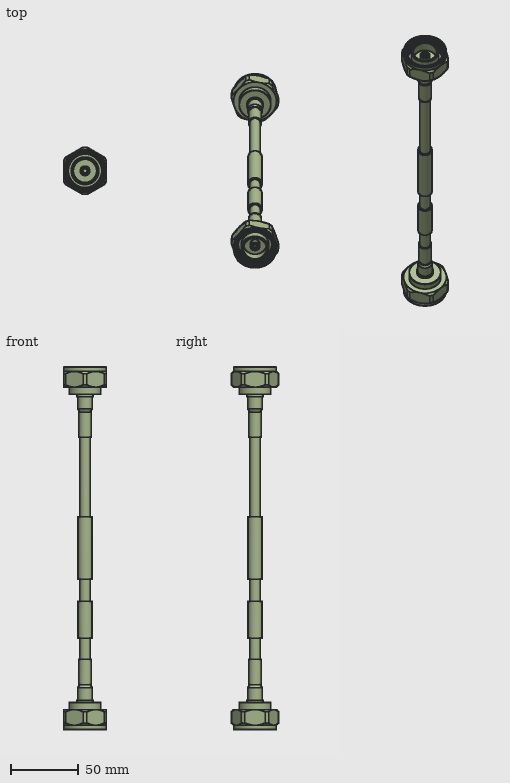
import cadquery as cq
import math

total_length = 269.4

nut_flats = 31.8
nut_corners = 35.0
ring_height = 3.5
hex_height = 11.5
edge_chamfer = 0.5

thread_minor_radius = 13.5
thread_depth = 0.8
thread_pitch = 1.5
thread_grooves = 4
bore_depth = 7.5

collar_diameter = 23.7
collar_length = 5.5
collar_chamfer = 0.3
flange_diameter = 12.0
flange_length = 1.5
barrel_diameter = 10.8
barrel_length = 9.2
neck_length = 2.5
neck_end_diameter = 8.0
ferrule_diameter = 9.5
ferrule_length = 18.5

contact_outer_radius = 10.2
contact_inner_radius = 8.5
contact_recess = 0.3
contact_bevel = 0.5
contact_depth = 9.0
bead_radius = 1.0

pin_radius = 3.5
pin_chamfer = 0.8
pin_recess = 3.8
pin_hole_radius = 1.5
pin_hole_depth = 2.2

cable_diameter = 7.8
sleeve_diameter = 10.5
long_sleeve_bottom = 111.8
long_sleeve_length = 46.3
short_sleeve_bottom = 68.1
short_sleeve_length = 27.2

nut_end = ring_height + hex_height
collar_end = nut_end + collar_length
flange_end = collar_end + flange_length
barrel_end = flange_end + barrel_length
ferrule_start = barrel_end + neck_length
ferrule_end = ferrule_start + ferrule_length


def disc(radius, start, end):
    """Cylinder on the Z axis between two heights."""
    return cq.Workplane("XY").workplane(offset=start).circle(radius).extrude(end - start)


def tube(outer_radius, inner_radius, start, end):
    """Hollow cylinder on the Z axis between two heights."""
    return disc(outer_radius, start, end).cut(disc(inner_radius, start, end))


def turned(points):
    """Solid of revolution about Z from (radius, height) points."""
    return cq.Workplane("XZ").polyline(points).close().revolve(360, (0, 0, 0), (0, 1, 0))


def hex_prism(across_flats, turn):
    """Hexagonal prism at the height of the nut's hexagon, turned about Z by an angle in degrees."""
    across_points = across_flats / math.cos(math.pi / 6)
    prism = cq.Workplane("XY").polygon(6, across_points).extrude(hex_height)
    return prism.rotate((0, 0, 0), (0, 0, 1), turn).translate((0, 0, ring_height))


def make_nut():
    """Hexagon with flats facing X, flat-cut corners, conical chamfers and a round front ring."""
    point_radius = nut_flats / 2 / math.cos(math.pi / 6)
    corner_chamfer = point_radius - nut_flats / 2
    envelope = disc(point_radius, ring_height, nut_end).faces("<Z or >Z").chamfer(corner_chamfer)
    hexagon = hex_prism(nut_flats, 30).intersect(hex_prism(nut_corners, 0)).intersect(envelope)
    ring = disc(nut_flats / 2, 0, ring_height).faces("<Z").chamfer(edge_chamfer)
    return hexagon.union(ring)


def make_threaded_bore():
    """Space inside the nut: a cylinder with V ridges, the first one opening at the mouth."""
    major_radius = thread_minor_radius + thread_depth
    points = [(0, 0), (major_radius, 0)]
    for index in range(thread_grooves):
        crest = (index + 0.5) * thread_pitch
        points.append((thread_minor_radius, crest))
        points.append((major_radius, crest + thread_pitch / 2))
    points.append((thread_minor_radius, (thread_grooves + 0.5) * thread_pitch))
    points.append((thread_minor_radius, bore_depth))
    points.append((0, bore_depth))
    return turned(points)


def make_rear():
    """Turned rear of the connector: collar, flange, barrel, conical neck and ferrule."""
    collar_radius = collar_diameter / 2
    flange_radius = flange_diameter / 2
    barrel_radius = barrel_diameter / 2
    ferrule_radius = ferrule_diameter / 2
    return turned([
        (0, nut_end),
        (collar_radius, nut_end),
        (collar_radius, collar_end - collar_chamfer),
        (collar_radius - collar_chamfer, collar_end),
        (flange_radius, collar_end),
        (flange_radius, flange_end),
        (barrel_radius, flange_end),
        (barrel_radius, barrel_end),
        (neck_end_diameter / 2, ferrule_start),
        (ferrule_radius, ferrule_start),
        (ferrule_radius, ferrule_end),
        (0, ferrule_end),
    ])


def make_contact():
    """Outer contact sleeve with a bevelled inner lip."""
    return turned([
        (contact_inner_radius, bore_depth),
        (contact_inner_radius, contact_recess + contact_bevel),
        (contact_inner_radius + contact_bevel, contact_recess),
        (contact_outer_radius, contact_recess),
        (contact_outer_radius, bore_depth),
    ])


def make_bead():
    """Half-round bead on the bore floor around the foot of the contact."""
    ring_radius = contact_outer_radius + bead_radius
    section = cq.Workplane("XZ").center(ring_radius, bore_depth).circle(bead_radius)
    return section.revolve(360, (-ring_radius, 0, 0), (-ring_radius, 1, 0))


def make_pin():
    """Centre pin with a chamfered tip and a shallow hole in it."""
    pin = disc(pin_radius, pin_recess, contact_depth).faces("<Z").chamfer(pin_chamfer)
    return pin.cut(disc(pin_hole_radius, pin_recess, pin_recess + pin_hole_depth))


def make_connector():
    """Connector with its mouth at Z = 0 and its ferrule pointing up."""
    shell = make_nut().union(make_rear()).cut(make_threaded_bore())
    shell = shell.cut(disc(contact_inner_radius, bore_depth, contact_depth))
    shell = shell.cut(disc(cable_diameter / 2, ferrule_start, ferrule_end))
    return shell.union(make_contact()).union(make_bead()).union(make_pin())


def make_sleeve(bottom, length):
    """Sleeve fitted around the cable."""
    return tube(sleeve_diameter / 2, cable_diameter / 2, bottom, bottom + length)


lower_connector = make_connector()
upper_connector = lower_connector.mirror("XY").translate((0, 0, total_length))
cable = disc(cable_diameter / 2, ferrule_start, total_length - ferrule_start)
sleeves = [
    make_sleeve(short_sleeve_bottom, short_sleeve_length),
    make_sleeve(long_sleeve_bottom, long_sleeve_length),
]

result = cq.Compound.makeCompound([
    lower_connector.val(),
    upper_connector.val(),
    cable.val(),
    *[sleeve.val() for sleeve in sleeves],
])